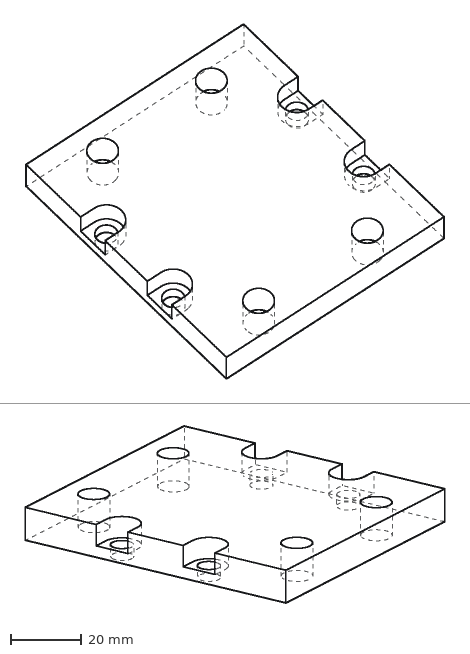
import cadquery as cq

length = 90.0
width = 80.0
thickness = 10.0

mount_diameter = 9.0
mount_spacing_x = 70.0
mount_spacing_y = 40.0

screw_diameter = 6.6
screw_spacing_x = 30.0
screw_spacing_y = 70.0
recess_width = 11.0
recess_depth = 6.5


def edge_recess(x, side):
    """Round-ended recess around a screw hole, open to the edge on the given Y side (+1 or -1)."""
    center_y = side * screw_spacing_y / 2
    run_out = (width - screw_spacing_y) / 2
    floor = cq.Workplane("XY").workplane(offset=thickness - recess_depth)
    round_end = floor.center(x, center_y).circle(recess_width / 2).extrude(recess_depth)
    channel = (
        floor.center(x, center_y + side * run_out / 2)
        .rect(recess_width, run_out)
        .extrude(recess_depth)
    )
    return round_end.union(channel)


plate = cq.Workplane("XY").box(length, width, thickness, centered=(True, True, False))

mount_holes = (
    cq.Workplane("XY")
    .rarray(mount_spacing_x, mount_spacing_y, 2, 2)
    .circle(mount_diameter / 2)
    .extrude(thickness)
)
screw_holes = (
    cq.Workplane("XY")
    .rarray(screw_spacing_x, screw_spacing_y, 2, 2)
    .circle(screw_diameter / 2)
    .extrude(thickness)
)

result = plate.cut(mount_holes).cut(screw_holes)
for recess_x in (-screw_spacing_x / 2, screw_spacing_x / 2):
    for edge_side in (-1, 1):
        result = result.cut(edge_recess(recess_x, edge_side))